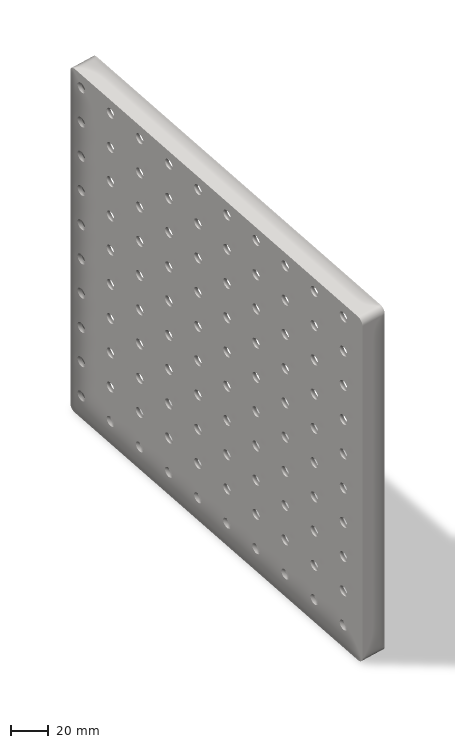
import cadquery as cq

tray_side = 249.0
tray_depth = 15.0
corner_radius = 4.0
face_thickness = 2.5
rim_thickness = 1.5
inner_corner_radius = corner_radius - rim_thickness

hole_diameter = 6.5
holes_per_side = 10
first_hole_margin = 9.5
last_hole_margin = 16.2
hole_pitch = (tray_side - first_hole_margin - last_hole_margin) / (holes_per_side - 1)


def rounded_block(side, depth, radius):
    """Square block with its front on the XZ plane, reaching back along +Y."""
    block = cq.Workplane("XZ").rect(side, side).extrude(-depth)
    return block.edges("|Y").fillet(radius)


def make_tray():
    body = rounded_block(tray_side, tray_depth, corner_radius)
    cavity = rounded_block(
        tray_side - 2 * rim_thickness,
        tray_depth - face_thickness,
        inner_corner_radius,
    )
    return body.cut(cavity.translate((0, face_thickness, 0)))


def hole_centres():
    first_x = -tray_side / 2 + first_hole_margin
    top_z = tray_side / 2 - first_hole_margin
    return [
        (first_x + column * hole_pitch, top_z - row * hole_pitch)
        for row in range(holes_per_side)
        for column in range(holes_per_side)
    ]


def make_holes():
    holes = cq.Workplane("XZ").pushPoints(hole_centres()).circle(hole_diameter / 2)
    return holes.extrude(-face_thickness)


result = make_tray().cut(make_holes()).translate((0, -tray_depth / 2, 0))